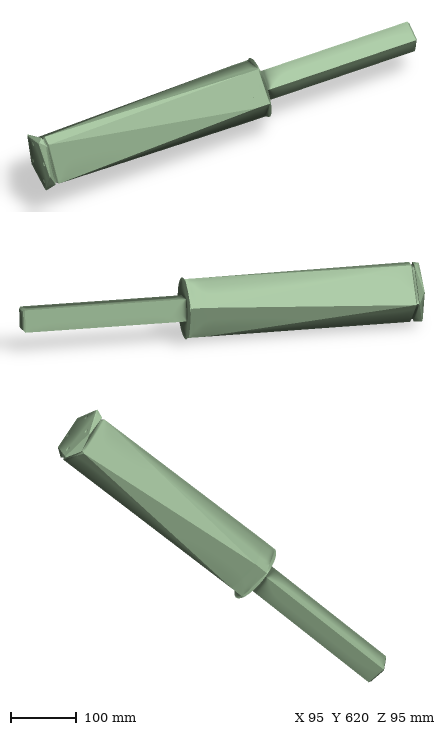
import cadquery as cq
import math

TOTAL_LENGTH = 620.0
OUTER_DIAMETER = 95.0
OUTER_RADIUS = OUTER_DIAMETER / 2

CAP_END = 8.5
SPACER_END = 12.0
HOUSING_END = 343.5
SEAL_END = 349.0
FLANGE_END = 364.5
COLLAR_END = 366.5

SIDES = 5
PENTAGON_ANGLES = [90 + i * 360 / SIDES for i in range(SIDES)]
KITE_TOP_ANGLE = 20.0
KITE_SIDE_ANGLE = (360 - KITE_TOP_ANGLE) / (SIDES - 1)
KITE_ANGLES = [90 + KITE_TOP_ANGLE / 2 + i * KITE_SIDE_ANGLE for i in range(SIDES)]

SPACER_RADIUS = 43.5
HOUSING_BEVEL = 2.0
CAP_BEVEL = 1.0

ROD_SIDE = 35.0
ROD_TILT = 9.0
ROD_CHAMFER = 2.5

DIMPLE_DIAMETER = 8.0
DIMPLE_SPACING = 42.0


def ring(angles, radius, y):
    """Points at the given angles on a circle around the Y axis."""
    points = []
    for angle in angles:
        a = math.radians(angle)
        points.append(cq.Vector(radius * math.cos(a), y, radius * math.sin(a)))
    return points


def pentagon(y, radius=OUTER_RADIUS):
    return ring(PENTAGON_ANGLES, radius, y)


def kite(y, radius=OUTER_RADIUS):
    return ring(KITE_ANGLES, radius, y)


def prism(outline, length):
    """Solid with the given flat outline, extruded towards +Y."""
    wire = cq.Wire.makePolygon(outline, close=True)
    return cq.Solid.extrudeLinear(wire, [], cq.Vector(0, length, 0))


def frustum(start_outline, end_outline):
    """Solid that tapers from one flat outline to another of the same shape."""
    wires = [cq.Wire.makePolygon(o, close=True) for o in (start_outline, end_outline)]
    return cq.Solid.makeLoft(wires, True)


def twisted_block(pentagon_end, kite_end):
    """Solid between a pentagon and a kite, joined by a band of ten flat triangles."""
    outlines = [pentagon_end, kite_end]
    for i in range(SIDES):
        corner = pentagon_end[i]
        next_corner = pentagon_end[(i + 1) % SIDES]
        outlines.append([corner, next_corner, kite_end[i]])
        outlines.append([kite_end[i - 1], corner, kite_end[i]])
    faces = [cq.Face.makeFromWires(cq.Wire.makePolygon(o, close=True)) for o in outlines]
    return cq.Solid.makeSolid(cq.Shell.makeShell(faces))


def make_cap():
    """End cap with a bevelled pentagonal face, a kite-shaped inner face and four conical dimples."""
    bevel = frustum(pentagon(0, OUTER_RADIUS - CAP_BEVEL), pentagon(CAP_BEVEL))
    cap = twisted_block(pentagon(CAP_BEVEL), kite(CAP_END)).fuse(bevel)
    radius = DIMPLE_DIAMETER / 2
    for x_side in (-1, 1):
        for z_side in (-1, 1):
            centre = cq.Vector(x_side * DIMPLE_SPACING / 2, 0, z_side * DIMPLE_SPACING / 2)
            cap = cap.cut(cq.Solid.makeCone(radius, 0, radius, centre, cq.Vector(0, 1, 0)))
    return cap.Solids()[0]


def make_spacer():
    """Smaller kite-shaped plate that leaves a groove between the cap and the housing."""
    return prism(kite(CAP_END, SPACER_RADIUS), SPACER_END - CAP_END)


def make_housing():
    """Long twisting housing with a bevel that narrows its kite-shaped end to the spacer."""
    bevel_end = SPACER_END + HOUSING_BEVEL
    barrel = twisted_block(pentagon(HOUSING_END), kite(bevel_end))
    bevel = frustum(kite(SPACER_END, SPACER_RADIUS), kite(bevel_end))
    return barrel.fuse(bevel).Solids()[0]


def make_collar():
    """Thin collar that widens from the flange's pentagon to the circle around its corners."""
    corners = pentagon(COLLAR_END)
    middles = ring([a + 180 / SIDES for a in PENTAGON_ANGLES], OUTER_RADIUS, COLLAR_END)
    arcs = [
        cq.Edge.makeThreePointArc(corners[i], middles[i], corners[(i + 1) % SIDES])
        for i in range(SIDES)
    ]
    circle = cq.Wire.assembleEdges(arcs)
    base = cq.Wire.makePolygon(pentagon(FLANGE_END), close=True)
    return cq.Solid.makeLoft([base, circle], True)


def make_rod():
    """Square rod, turned a little about its axis, with a chamfered free end."""
    corner_angles = [45 - ROD_TILT + i * 90 for i in range(4)]
    outline = ring(corner_angles, ROD_SIDE / math.sqrt(2), COLLAR_END)
    rod = cq.Workplane(prism(outline, TOTAL_LENGTH - COLLAR_END))
    return rod.faces(">Y").chamfer(ROD_CHAMFER).val()


cap = make_cap()
spacer = make_spacer()
housing = make_housing()
seal = prism(pentagon(HOUSING_END), SEAL_END - HOUSING_END)
flange = prism(pentagon(SEAL_END), FLANGE_END - SEAL_END)
collar = make_collar()
rod = make_rod()

result = cq.Compound.makeCompound([cap, spacer, housing, seal, flange, collar, rod])